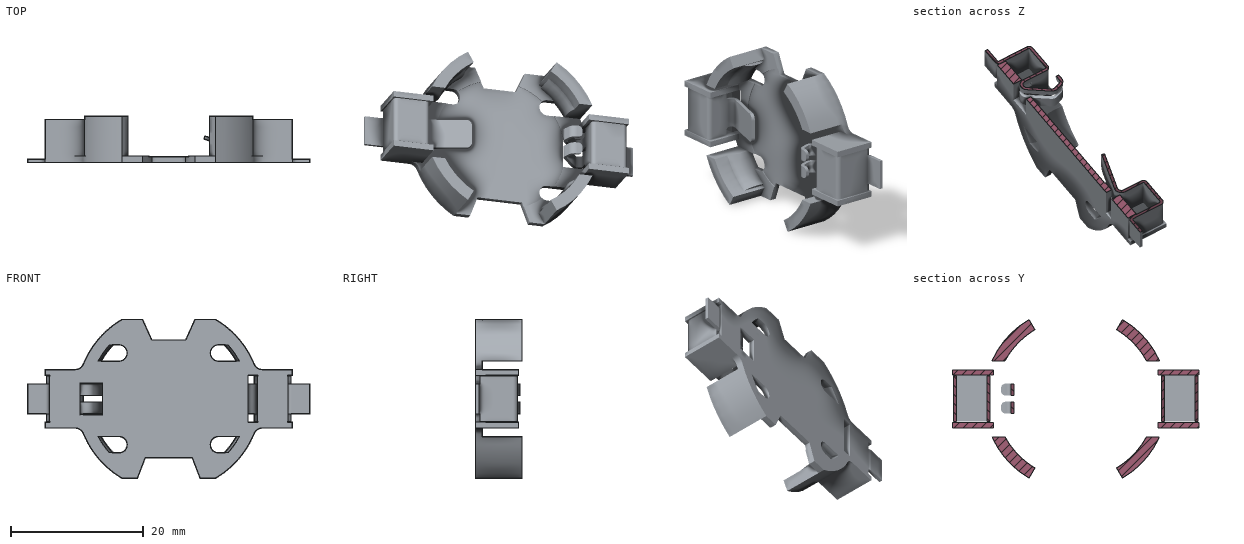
import cadquery as cq
import math

disc_radius = 13.9
flat_height = 12.0
plate_thickness = 1.0
recess_radius = 10.3
recess_depth = 0.13
notch_depth = 3.1
top_notch_half_widths = (3.95, 2.55)
bottom_notch_half_widths = (4.7, 3.53)

box_end_x = 18.6
box_inner_x = 12.32
box_half_height = 4.4
box_depth = 6.5
box_wall = 0.9
box_floor = 1.55
channel_half_height = box_half_height - box_wall
arm_fillet = 1.35

clip_depth = 7.0
clip_inner_radius = 12.05
clip_bottom_z = 5.7
clip_end_angle = math.degrees(math.acos(flat_height / disc_radius))
rib_height = 0.42
rib_top_y = 4.6
rib_end_angle = 33.0

core_hole_inner_x = 6.3
core_hole_height = 2.42
core_hole_fillet = 1.2
window_end_x = 13.4
finger_window_x = (10.0, window_end_x)
finger_window_half_height = 2.4
tongue_window_x = (11.95, window_end_x)

sheet = 0.5
bend_radius = 0.4
tab_end_x = 21.25
tab_width = 4.5
contact_width = 6.9
end_plate_x = 18.2
end_plate_bottom_y = 0.7
contact_top_y = 6.08
drop_x = window_end_x - sheet / 2
shoulder_y = 2.98
shoulder_fillet = 0.42
spring_bend_radius = 0.85
finger_slot_width = 0.95
finger_tip_fillet = 0.7
finger_points = [(drop_x, -0.75), (9.05, 4.5), (9.78, 6.45), (11.2, 6.45)]
tongue_points = [(drop_x, 1.35), (5.35, 3.8)]
tongue_tip_fillet = 0.85


def box(x_range, y_range, z_range):
    """Axis-aligned block between the given limits."""
    size = [high - low for low, high in (x_range, y_range, z_range)]
    corner = (x_range[0], y_range[0], z_range[0])
    return cq.Workplane("XY").box(*size, centered=False).translate(corner)


def slab(y_start, y_end):
    """Workplane in XZ and the extrusion that runs from y_start to y_end along +Y."""
    return cq.Workplane("XZ", origin=(0, y_start, 0)), y_start - y_end


def cylinder(radius, y_start, y_end):
    plane, depth = slab(y_start, y_end)
    return plane.circle(radius).extrude(depth)


def polygon(points, y_start, y_end):
    plane, depth = slab(y_start, y_end)
    return plane.polyline(points).close().extrude(depth)


def edge_notch(half_widths, direction):
    """Tapered notch in the upper (direction 1) or lower (direction -1) flat."""
    outer, inner = half_widths
    rim_z = direction * flat_height
    floor_z = direction * (flat_height - notch_depth)
    points = [(-outer, rim_z), (outer, rim_z), (inner, floor_z), (-inner, floor_z)]
    return polygon(points, 0, plate_thickness)


def base_plate():
    y_range = (0, plate_thickness)
    flats = box((-disc_radius, disc_radius), y_range, (-flat_height, flat_height))
    arms = box((-box_end_x, box_end_x), y_range, (-box_half_height, box_half_height))
    plate = cylinder(disc_radius, *y_range).intersect(flats).union(arms)
    root_x = math.sqrt(disc_radius**2 - box_half_height**2)
    for x in (-root_x, root_x):
        for z in (-box_half_height, box_half_height):
            root = cq.selectors.NearestToPointSelector((x, plate_thickness / 2, z))
            plate = plate.edges("|Y").edges(root).fillet(arm_fillet)
    plate = plate.cut(edge_notch(top_notch_half_widths, 1))
    plate = plate.cut(edge_notch(bottom_notch_half_widths, -1))
    return plate.cut(cylinder(recess_radius, plate_thickness - recess_depth, plate_thickness))


def box_shell():
    """Upper wall, lower wall and raised floor of the box on the +X arm."""
    walls = box((box_inner_x, box_end_x), (0, box_depth), (-box_half_height, box_half_height))
    channel = box((box_inner_x, box_end_x), (0, box_depth), (-channel_half_height, channel_half_height))
    floor = box((window_end_x, box_end_x), (0, box_floor), (-channel_half_height, channel_half_height))
    return walls.cut(channel).union(floor)


def sector(end_angle, y_end):
    """Block above the clip's lower edge and below a radial plane end_angle from the Z axis."""
    reach = 2 * disc_radius
    slope = 1 / math.tan(math.radians(end_angle))
    points = [
        (clip_bottom_z / slope, clip_bottom_z),
        (reach, clip_bottom_z),
        (reach, reach * slope),
    ]
    return polygon(points, 0, y_end)


def clip():
    """Arched clip in the +X +Z quarter, with a snap rib on its inner face."""
    ring = cylinder(disc_radius, 0, clip_depth).cut(cylinder(clip_inner_radius, 0, clip_depth))
    rib_profile = (
        cq.Workplane("XY")
        .moveTo(clip_inner_radius, 0)
        .threePointArc((clip_inner_radius - rib_height, rib_top_y / 2), (clip_inner_radius, rib_top_y))
        .lineTo(disc_radius, rib_top_y)
        .lineTo(disc_radius, 0)
        .close()
    )
    rib_ring = rib_profile.revolve(360, (0, 0, 0), (0, 1, 0))
    arch = ring.intersect(sector(clip_end_angle, clip_depth))
    rib = rib_ring.intersect(sector(rib_end_angle, clip_depth))
    return arch.union(rib)


def core_hole():
    """Hole under the snap rib in the +X +Z quarter, bounded outside by the clip's inner face."""
    z_range = (clip_bottom_z, clip_bottom_z + core_hole_height)
    hole = box((core_hole_inner_x, disc_radius), (0, plate_thickness), z_range)
    hole = hole.edges("|Y and <X").fillet(core_hole_fillet)
    return hole.intersect(cylinder(clip_inner_radius, 0, plate_thickness))


def both_sides(body):
    return body.union(body.mirror("YZ"))


def four_quarters(body):
    half = both_sides(body)
    return half.union(half.mirror("XY"))


def make_housing():
    y_range = (0, plate_thickness)
    channel_z = (-channel_half_height, channel_half_height)
    finger_window_z = (-finger_window_half_height, finger_window_half_height)
    end_notch = box((end_plate_x - sheet / 2, box_end_x), (0, box_floor), channel_z)
    finger_window = box(finger_window_x, y_range, finger_window_z).mirror("YZ")
    tongue_window = box(tongue_window_x, y_range, channel_z)
    body = base_plate().cut(four_quarters(core_hole()))
    body = body.union(both_sides(box_shell())).union(four_quarters(clip()))
    return body.cut(both_sides(end_notch)).cut(finger_window).cut(tongue_window)


def bent_strip(points, radius, width):
    """Sheet strip centred on Z = 0 that follows the points in XY, with rounded bends."""
    corners = [cq.Vector(x, y, 0) for x, y in points]
    path = cq.Workplane("XY").moveTo(*points[0])
    for before, corner, after in zip(corners, corners[1:], corners[2:]):
        back = (before - corner).normalized()
        ahead = (after - corner).normalized()
        half_angle = back.getAngle(ahead) / 2
        bend_start = corner + back * (radius / math.tan(half_angle))
        bend_end = corner + ahead * (radius / math.tan(half_angle))
        to_arc = radius / math.sin(half_angle) - radius
        bend_middle = corner + (back + ahead).normalized() * to_arc
        path = path.lineTo(bend_start.x, bend_start.y)
        path = path.threePointArc((bend_middle.x, bend_middle.y), (bend_end.x, bend_end.y))
    path = path.lineTo(*points[-1])
    start_plane = cq.Plane(origin=corners[0], xDir=(0, 0, 1), normal=corners[1] - corners[0])
    return cq.Workplane(start_plane).rect(width, sheet).sweep(path)


def make_contact(spring):
    """Solder tab, end plate and roof strip of a contact, joined to its spring."""
    tab_y = sheet / 2
    end_plate_start = (end_plate_x, end_plate_bottom_y)
    tab = bent_strip([(tab_end_x, tab_y), (end_plate_x, tab_y), end_plate_start], bend_radius, tab_width)
    roof_points = [
        end_plate_start,
        (end_plate_x, contact_top_y),
        (drop_x, contact_top_y),
        (drop_x, shoulder_y),
    ]
    contact = bent_strip(roof_points, bend_radius, contact_width).union(tab).union(spring)
    for side in (-1, 1):
        shoulder = cq.selectors.NearestToPointSelector((drop_x, shoulder_y, side * tab_width / 2))
        contact = contact.edges("|X").edges(shoulder).fillet(shoulder_fillet)
    return contact


def round_tip(spring, tip, tip_fillet):
    """Round the corners of the free end whose face is nearest to the tip."""
    end_face = spring.faces(cq.selectors.NearestToPointSelector(tip))
    return end_face.edges("not |Z").fillet(tip_fillet)


def make_finger_contact():
    """Contact at the -X end, whose split spring presses on the rim of the cell."""
    spring = bent_strip([(drop_x, shoulder_y)] + finger_points, spring_bend_radius, tab_width)
    half_slot = finger_slot_width / 2
    slot = box((0, drop_x + sheet), (-sheet, clip_depth), (-half_slot, half_slot))
    spring = spring.cut(slot)
    for side in (-1, 1):
        finger_middle_z = side * (half_slot + tab_width / 2) / 2
        spring = round_tip(spring, (*finger_points[-1], finger_middle_z), finger_tip_fillet)
    return make_contact(spring).mirror("YZ")


def make_tongue_contact():
    """Contact at the +X end, whose single tongue presses on the flat face of the cell."""
    spring = bent_strip([(drop_x, shoulder_y)] + tongue_points, spring_bend_radius, tab_width)
    return make_contact(round_tip(spring, (*tongue_points[-1], 0), tongue_tip_fillet))


housing = make_housing()
finger_contact = make_finger_contact()
tongue_contact = make_tongue_contact()

result = cq.Compound.makeCompound([housing.val(), finger_contact.val(), tongue_contact.val()])